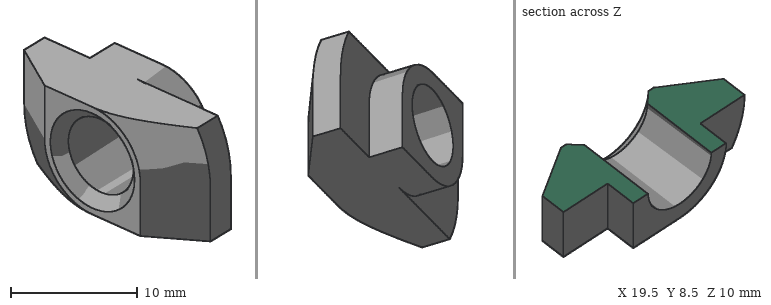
import cadquery as cq

length = 19.5
height = 10.0
half_length = length / 2
half_height = height / 2

taper_depth = 3.0
flange_depth = 2.5
boss_depth = 3.0
flange_back = taper_depth + flange_depth
total_depth = flange_back + boss_depth

hole_radius = 3.4
mouth_radius = 4.4
mouth_depth = mouth_radius - hole_radius


def half_section():
    """Half of the T-shaped section, on the +X side of the hole axis."""
    return cq.Workplane("XY").polyline([
        (0, 0),
        (half_height, 0),
        (half_length, taper_depth),
        (half_length, flange_back),
        (half_height, flange_back),
        (half_height, total_depth),
        (0, total_depth),
    ]).close()


def square_quarter():
    """Quarter with flat sides, at +X and -Z."""
    return half_section().extrude(-half_height)


def round_quarter():
    """Quarter turned about the hole axis and trimmed to the height, at +X and +Z."""
    turned = half_section().revolve(360, (0, 0, 0), (0, 1, 0))
    quadrant = cq.Workplane("XY").box(half_length, total_depth, half_height, centered=False)
    return turned.intersect(quadrant)


def hole_cutter():
    return (
        cq.Workplane("XY")
        .polyline([
            (0, 0),
            (mouth_radius, 0),
            (hole_radius, mouth_depth),
            (hole_radius, total_depth),
            (0, total_depth),
        ])
        .close()
        .revolve(360, (0, 0, 0), (0, 1, 0))
    )


half_body = square_quarter().union(round_quarter())
body = half_body.union(half_body.rotate((0, 0, 0), (0, 1, 0), 180))
result = body.cut(hole_cutter())